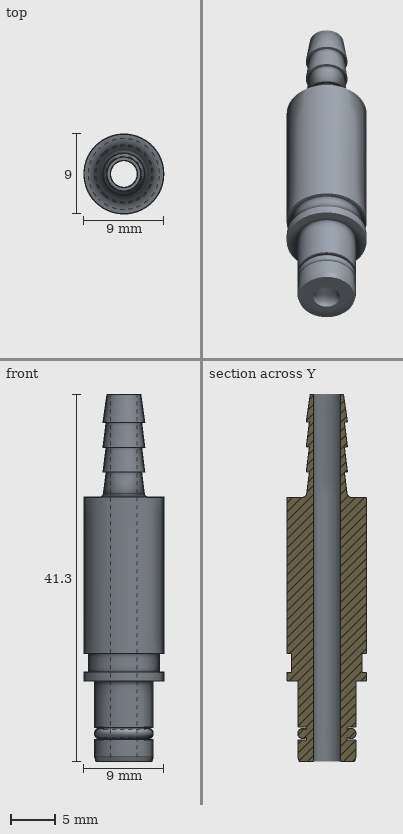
import cadquery as cq

total_height = 41.3
plug_groove_bottom = 2.45
plug_groove_top = 3.85
collar_bottom = 9.05
collar_top = 10.05
body_bottom = 12.15
body_top = 29.75

bore_radius = 1.5
body_radius = 4.5
neck_radius = 4.0
plug_radius = 3.3
plug_lead_in_height = 0.55
plug_tip_radius = 3.15

ring_section_radius = 0.6
ring_center_radius = plug_radius - ring_section_radius
ring_center_height = (plug_groove_bottom + plug_groove_top) / 2
groove_floor_radius = 2.3

tip_radius = 1.9
barb_small_radius = 2.0
barb_large_radius = 2.35
barb_pitch = 2.8
barb_count = 3
root_rounding = 0.45


def cylinder(radius, bottom, top):
    return cq.Workplane("XY").workplane(offset=bottom).circle(radius).extrude(top - bottom)


def cone(bottom_radius, top_radius, bottom, top):
    profile = [(0, bottom), (bottom_radius, bottom), (top_radius, top), (0, top)]
    return cq.Workplane("XZ").polyline(profile).close().revolve(360, (0, 0), (0, 1))


def make_plug():
    shank = cylinder(plug_radius, plug_lead_in_height, collar_bottom)
    lead_in = cone(plug_tip_radius, plug_radius, 0, plug_lead_in_height)
    groove = cylinder(plug_radius, plug_groove_bottom, plug_groove_top).cut(
        cylinder(groove_floor_radius, plug_groove_bottom, plug_groove_top)
    )
    return shank.union(lead_in).cut(groove)


def make_ring():
    return (
        cq.Workplane("YZ")
        .center(-ring_center_radius, ring_center_height)
        .circle(ring_section_radius)
        .revolve(360, (ring_center_radius, 0), (ring_center_radius, 1))
    )


def make_body():
    collar = cylinder(body_radius, collar_bottom, collar_top)
    neck = cylinder(neck_radius, collar_top, body_bottom)
    sleeve = cylinder(body_radius, body_bottom, body_top)
    return collar.union(neck).union(sleeve)


def make_hose_tail():
    root_top = body_top + barb_pitch
    tail = cone(barb_large_radius, barb_small_radius, body_top, root_top)
    for index in range(barb_count):
        bottom = root_top + index * barb_pitch
        is_tip = index == barb_count - 1
        top = total_height if is_tip else bottom + barb_pitch
        top_radius = tip_radius if is_tip else barb_small_radius
        tail = tail.union(cone(barb_large_radius, top_radius, bottom, top))
    return tail


def round_tail_root(part):
    reach = barb_large_radius + root_rounding
    root_box = cq.selectors.BoxSelector(
        (-reach, -reach, body_top - root_rounding),
        (reach, reach, body_top + root_rounding),
        boundingbox=True,
    )
    return part.edges(root_box).fillet(root_rounding)


solid_part = round_tail_root(make_body().union(make_hose_tail()))
solid_part = solid_part.union(make_plug()).union(make_ring())
result = solid_part.cut(cylinder(bore_radius, 0, total_height))